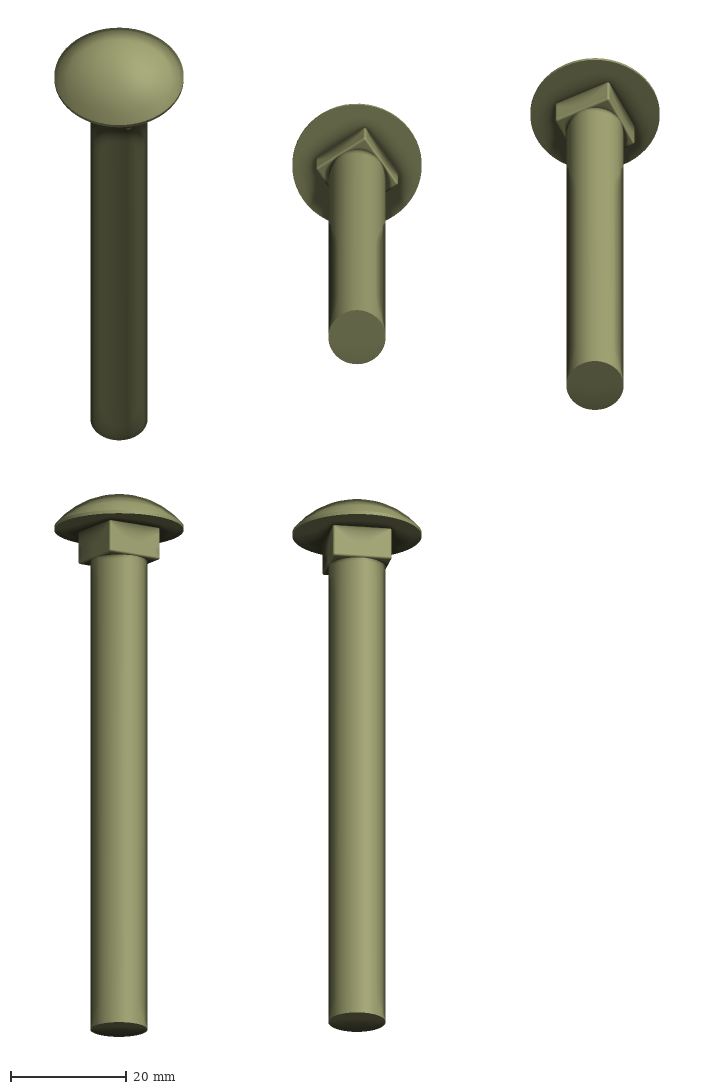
import cadquery as cq

total_length = 95.8
shank_diameter = 10.0

head_diameter = 22.5
head_height = 5.9
rim_thickness = 0.6

neck_width = 10.4
neck_height = 5.75
neck_edge_radius = 0.4

head_radius = head_diameter / 2
head_base_z = total_length - head_height
rim_top_z = head_base_z + rim_thickness
neck_base_z = head_base_z - neck_height

dome_height = total_length - rim_top_z
dome_radius = (head_radius**2 + dome_height**2) / (2 * dome_height)


def dome_z(radius):
    """Height of the dome surface at a given distance from the axis."""
    return total_length - dome_radius + (dome_radius**2 - radius**2) ** 0.5


def make_head():
    """Revolve half of the head outline around the bolt axis."""
    mid_radius = head_radius / 2
    return (
        cq.Workplane("XZ")
        .moveTo(0, head_base_z)
        .lineTo(head_radius, head_base_z)
        .lineTo(head_radius, rim_top_z)
        .threePointArc((mid_radius, dome_z(mid_radius)), (0, total_length))
        .close()
        .revolve(360, (0, 0, 0), (0, 1, 0))
    )


def make_neck():
    """Square block with all its edges rounded."""
    return (
        cq.Workplane("XY", origin=(0, 0, neck_base_z))
        .rect(neck_width, neck_width)
        .extrude(neck_height)
        .edges()
        .fillet(neck_edge_radius)
    )


def make_shank():
    """Plain cylinder running from the tip up to the underside of the head."""
    return cq.Workplane("XY").circle(shank_diameter / 2).extrude(head_base_z)


result = make_shank().union(make_neck()).union(make_head())